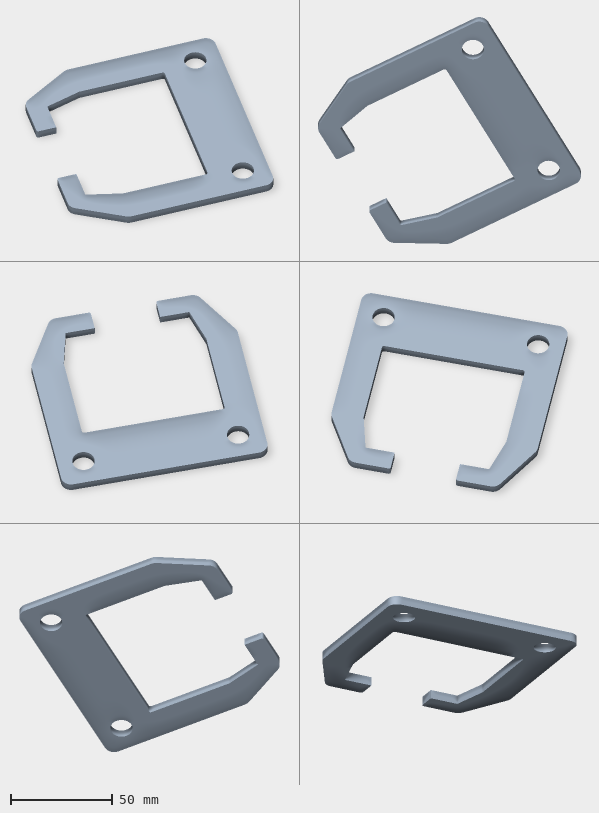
import math

import cadquery as cq

plate_width = 104.0
plate_length = 102.0
thickness = 4.5

arm_width = 16.0
head_depth = 30.0
foot_depth = 10.0
mouth_width = 33.0

outer_taper_start = 26.0
outer_taper_angle = 30.0
inner_taper_start = 28.0
inner_taper_angle = 15.0

outer_radius = 5.0
small_radius = 1.0

hole_diameter = 11.0
hole_spacing = 78.0
hole_to_top = 13.0

outer_x = plate_width / 2
opening_x = outer_x - arm_width
mouth_x = mouth_width / 2
opening_top = plate_length - head_depth
outer_foot_x = outer_x - outer_taper_start * math.tan(math.radians(outer_taper_angle))
inner_taper_height = inner_taper_start - foot_depth
inner_foot_x = opening_x - inner_taper_height * math.tan(math.radians(inner_taper_angle))


def mirrored_pair(x, y):
    """The two points at +x and -x."""
    return [(x, y), (-x, y)]


def frame():
    """Flat C-shaped frame, open between the two feet."""
    right_half = [
        (outer_x, plate_length),
        (outer_x, outer_taper_start),
        (outer_foot_x, 0),
        (mouth_x, 0),
        (mouth_x, foot_depth),
        (inner_foot_x, foot_depth),
        (opening_x, inner_taper_start),
        (opening_x, opening_top),
    ]
    left_half = [(-x, y) for x, y in reversed(right_half)]
    return cq.Workplane("XY").polyline(right_half + left_half).close().extrude(thickness)


def round_corners(body, corners, radius):
    """Fillet the upright edges that stand on the given corner points."""
    edges = cq.Workplane("XY")
    for x, y in corners:
        edges = edges.add(body.edges(cq.NearestToPointSelector((x, y, thickness / 2))))
    return body.newObject(edges.vals()).fillet(radius)


def drill_mounting_holes(body):
    """Through holes in the two top corners."""
    centres = mirrored_pair(hole_spacing / 2, plate_length - hole_to_top)
    drills = cq.Workplane("XY").pushPoints(centres).circle(hole_diameter / 2).extrude(thickness)
    return body.cut(drills)


outer_corners = (
    mirrored_pair(outer_x, plate_length)
    + mirrored_pair(outer_x, outer_taper_start)
    + mirrored_pair(outer_foot_x, 0)
)
small_corners = mirrored_pair(opening_x, opening_top) + mirrored_pair(mouth_x, 0)

plate = frame()
plate = round_corners(plate, outer_corners, outer_radius)
plate = round_corners(plate, small_corners, small_radius)
result = drill_mounting_holes(plate)